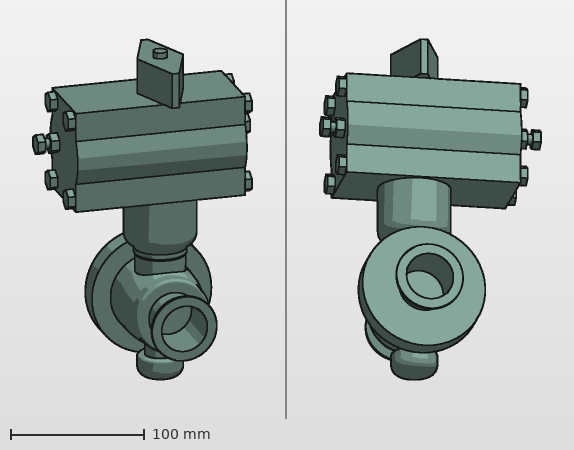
import cadquery as cq


valve_length = 125.0
end_x = valve_length / 2
bore_dia = 35.7
bore_depth = 40.5
pipe_dia = 38.0
ferrule_dia = 50.5
ferrule_rim = 2.3
ferrule_thickness = 4.5

flange_dia = 93.5
flange_start_x = -39.0
flange_end_x = -21.5
body_dia = 64.5
body_taper_start_x = -6.7
body_taper_end_x = 22.9
collar_dia = 58.0
collar_end_x = 33.7
collar_fillet = 2.3

actuator_bottom_z = 89.5
bonnet_dia = 55.0
bonnet_round_top_z = 56.5
bonnet_cone_top_z = 49.3
bonnet_cone_top_radius = 24.5
bonnet_cone_bottom_z = 47.0
bonnet_cone_bottom_radius = 21.5
seal_dia = 40.0
seal_top_z = 44.7
seal_bottom_z = 40.8
neck_dia = 38.0
neck_top_z = 39.3

stub_dia = 23
cap_dia = 35.0
cap_top_z = -40.3
cap_bottom_z = -57.5
cap_top_fillet = 2.3
cap_bottom_fillet = 8.5

block_width = 61.1
block_height = 78.0
block_length = 132.3
block_center_y = -9.0
block_center_z = actuator_bottom_z + block_height / 2
block_top_z = actuator_bottom_z + block_height
bulge_width = 70.6
bulge_height = 34.0

hex_corner_dia = 15.5
bolt_head_height = 5.7
bolt_spacing_x = 45.7
bolt_spacing_z = 62.0
screw_x = -17.7
screw_nut_height = 6.5
screw_shank_dia = 8.0
screw_span = 166.0
screw_length = (screw_span - block_length) / 2
screw_head_height = 6.0

indicator_length = 80.2
indicator_width = 36
indicator_tip_width = 5.5
indicator_height = 27.2
pin_dia = 10.5
pin_height = 4.5


def make_ferrule_pipe():
    """Solid pipe along +X from the origin, ending in a clamp ferrule."""
    cone_start_x = end_x - ferrule_thickness
    return (
        cq.Workplane("XY")
        .moveTo(0, 0)
        .lineTo(0, pipe_dia / 2)
        .lineTo(cone_start_x, pipe_dia / 2)
        .lineTo(end_x - ferrule_rim, ferrule_dia / 2)
        .lineTo(end_x, ferrule_dia / 2)
        .lineTo(end_x, 0)
        .close()
        .revolve(360, (0, 0, 0), (1, 0, 0))
    )


def make_flow_body():
    """Flange, body and end collar, turned about X."""
    return (
        cq.Workplane("XY")
        .moveTo(flange_start_x, 0)
        .lineTo(flange_start_x, flange_dia / 2)
        .lineTo(flange_end_x, flange_dia / 2)
        .lineTo(flange_end_x, body_dia / 2)
        .lineTo(body_taper_start_x, body_dia / 2)
        .tangentArcPoint((body_taper_end_x, collar_dia / 2), relative=False)
        .lineTo(collar_end_x - collar_fillet, collar_dia / 2)
        .tangentArcPoint((collar_end_x, collar_dia / 2 - collar_fillet), relative=False)
        .lineTo(collar_end_x, 0)
        .close()
        .revolve(360, (0, 0, 0), (1, 0, 0))
    )


def make_bonnet():
    """Bonnet, seal ring and neck, turned about Z and running down into the body."""
    return (
        cq.Workplane("XZ")
        .moveTo(0, actuator_bottom_z)
        .lineTo(bonnet_dia / 2, actuator_bottom_z)
        .lineTo(bonnet_dia / 2, bonnet_round_top_z)
        .tangentArcPoint((bonnet_cone_top_radius, bonnet_cone_top_z), relative=False)
        .lineTo(bonnet_cone_bottom_radius, bonnet_cone_bottom_z)
        .tangentArcPoint((seal_dia / 2, seal_top_z), relative=False)
        .lineTo(seal_dia / 2, seal_bottom_z)
        .lineTo(neck_dia / 2, neck_top_z)
        .lineTo(neck_dia / 2, 0)
        .lineTo(0, 0)
        .close()
        .revolve(360, (0, 0, 0), (0, 1, 0))
    )


def make_bottom_cap():
    """Rounded cap hanging below the body on a short stub."""
    stub = cq.Workplane("XY").circle(stub_dia / 2).extrude(cap_top_z)
    cap = (
        cq.Workplane("XY")
        .workplane(offset=cap_bottom_z)
        .circle(cap_dia / 2)
        .extrude(cap_top_z - cap_bottom_z)
        .faces("<Z").edges().fillet(cap_bottom_fillet)
        .faces(">Z").edges().fillet(cap_top_fillet)
    )
    return stub.union(cap)


def make_valve():
    outlet_pipe = make_ferrule_pipe()
    inlet_pipe = outlet_pipe.mirror("YZ")
    valve = make_flow_body().union(outlet_pipe).union(inlet_pipe)
    valve = valve.union(make_bonnet()).union(make_bottom_cap())
    outlet_bore = (
        cq.Workplane("YZ")
        .workplane(offset=end_x - bore_depth)
        .circle(bore_dia / 2)
        .extrude(bore_depth)
    )
    return valve.cut(outlet_bore).cut(outlet_bore.mirror("YZ"))


def make_block():
    """Actuator block with rounded flanks, centred on the local origin."""
    side_x = block_width / 2
    half_height = block_height / 2
    bulge_x = bulge_width / 2
    bulge_z = bulge_height / 2
    return (
        cq.Workplane("XZ")
        .moveTo(-side_x, -half_height)
        .lineTo(side_x, -half_height)
        .lineTo(side_x, -bulge_z)
        .threePointArc((bulge_x, 0), (side_x, bulge_z))
        .lineTo(side_x, half_height)
        .lineTo(-side_x, half_height)
        .lineTo(-side_x, bulge_z)
        .threePointArc((-bulge_x, 0), (-side_x, -bulge_z))
        .close()
        .extrude(block_length / 2, both=True)
    )


def make_hex(x, z, start, height):
    """Hexagon with corners up and down, standing off the -Y end by start."""
    return (
        cq.Workplane("XZ", origin=(x, -block_length / 2 - start, z))
        .transformed(rotate=(0, 0, 90))
        .polygon(6, hex_corner_dia)
        .extrude(height)
    )


def make_end_hardware():
    """Four bolt heads and one adjusting screw on the -Y end of the block."""
    shank = (
        cq.Workplane("XZ", origin=(screw_x, -block_length / 2, 0))
        .circle(screw_shank_dia / 2)
        .extrude(screw_length)
    )
    nut = make_hex(screw_x, 0, 0, screw_nut_height)
    head = make_hex(screw_x, 0, screw_length - screw_head_height, screw_head_height)
    hardware = shank.union(nut).union(head)
    for side_x in (-1, 1):
        for side_z in (-1, 1):
            bolt_x = side_x * bolt_spacing_x / 2
            bolt_z = side_z * bolt_spacing_z / 2
            hardware = hardware.union(make_hex(bolt_x, bolt_z, 0, bolt_head_height))
    return hardware


def make_indicator():
    """Diamond indicator with blunt tips and a pin on top, centred on the stem."""
    tip_x = indicator_length / 2
    tip_y = indicator_tip_width / 2
    middle_y = indicator_width / 2
    outline = [
        (tip_x, -tip_y), (tip_x, tip_y), (0, middle_y),
        (-tip_x, tip_y), (-tip_x, -tip_y), (0, -middle_y),
    ]
    plate = (
        cq.Workplane("XY")
        .workplane(offset=block_top_z)
        .polyline(outline)
        .close()
        .extrude(indicator_height)
    )
    pin = (
        cq.Workplane("XY")
        .workplane(offset=block_top_z + indicator_height)
        .circle(pin_dia / 2)
        .extrude(pin_height)
    )
    return plate.union(pin)


def make_actuator():
    front_hardware = make_end_hardware()
    back_hardware = front_hardware.mirror("XZ")
    block = make_block().union(front_hardware).union(back_hardware)
    block = block.translate((0, block_center_y, block_center_z))
    return block.union(make_indicator())


valve = make_valve()
actuator = make_actuator()

result = cq.Compound.makeCompound([valve.val(), actuator.val()])